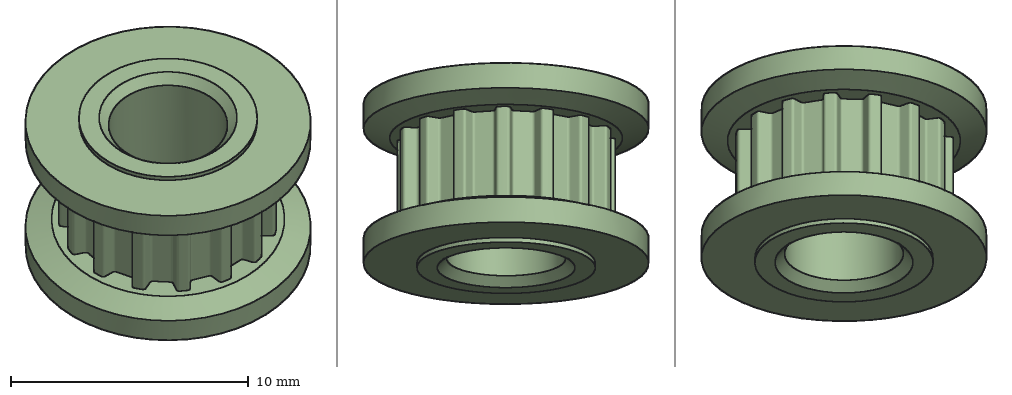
import cadquery as cq
import math

tooth_count = 15
belt_pitch = 2.032
pitch_line_offset = 0.254
belt_width = 4.0
tip_radius = tooth_count * belt_pitch / (2 * math.pi) - pitch_line_offset
tooth_angle = 360 / tooth_count

floor_distance = 3.98
floor_half_width = 0.455
flank_angle = 22.0
corner_fillet = 0.13
groove_overshoot = 1.0

flange_radius = 6.0
flange_thickness = 1.5
flange_bevel_radius = 4.9
flange_bevel_height = 0.4
hub_radius = 3.75
hub_height = 0.2
bore_radius = 2.5
bore_chamfer = 0.4

flange_inner_z = belt_width / 2
flange_outer_z = flange_inner_z + flange_thickness
end_z = flange_outer_z + hub_height


def make_groove():
    """Prism that cuts one groove, pointing along -Y."""
    cut_distance = tip_radius + groove_overshoot
    flank_spread = (cut_distance - floor_distance) * math.tan(math.radians(flank_angle))
    outer_half_width = floor_half_width + flank_spread
    return (
        cq.Workplane("XY", origin=(0, 0, -flange_inner_z))
        .moveTo(-outer_half_width, -cut_distance)
        .lineTo(-floor_half_width, -floor_distance)
        .lineTo(floor_half_width, -floor_distance)
        .lineTo(outer_half_width, -cut_distance)
        .close()
        .extrude(belt_width)
    )


def corner_edges(body, inner_radius, outer_radius):
    """Edges parallel to Z that lie between two radii."""
    edges = [
        edge
        for edge in body.edges("|Z").vals()
        if inner_radius < math.hypot(edge.Center().x, edge.Center().y) < outer_radius
    ]
    return body.newObject(edges)


def make_toothed_section():
    """Grooved cylinder between the flanges."""
    body = cq.Workplane("XY", origin=(0, 0, -flange_inner_z)).circle(tip_radius).extrude(belt_width)
    groove = make_groove()
    for index in range(tooth_count):
        body = body.cut(groove.rotate((0, 0, 0), (0, 0, 1), (index + 0.5) * tooth_angle))
    middle_radius = (floor_distance + tip_radius) / 2
    body = corner_edges(body, 0, middle_radius).fillet(corner_fillet)
    return corner_edges(body, middle_radius, flange_radius).fillet(corner_fillet)


def make_upper_end():
    """Bevelled flange with its raised hub face, turned about Z."""
    return (
        cq.Workplane("XZ")
        .moveTo(0, flange_inner_z)
        .lineTo(flange_bevel_radius, flange_inner_z)
        .lineTo(flange_radius, flange_inner_z + flange_bevel_height)
        .lineTo(flange_radius, flange_outer_z)
        .lineTo(hub_radius, flange_outer_z)
        .lineTo(hub_radius, end_z)
        .lineTo(0, end_z)
        .close()
        .revolve(360, (0, 0, 0), (0, 1, 0))
    )


def make_bore():
    """Through bore with a chamfer at each mouth."""
    mouth_radius = bore_radius + bore_chamfer
    return (
        cq.Workplane("XZ")
        .moveTo(0, -end_z)
        .lineTo(mouth_radius, -end_z)
        .lineTo(bore_radius, -end_z + bore_chamfer)
        .lineTo(bore_radius, end_z - bore_chamfer)
        .lineTo(mouth_radius, end_z)
        .lineTo(0, end_z)
        .close()
        .revolve(360, (0, 0, 0), (0, 1, 0))
    )


upper_end = make_upper_end()
lower_end = upper_end.mirror("XY")
result = make_toothed_section().union(upper_end).union(lower_end).cut(make_bore())